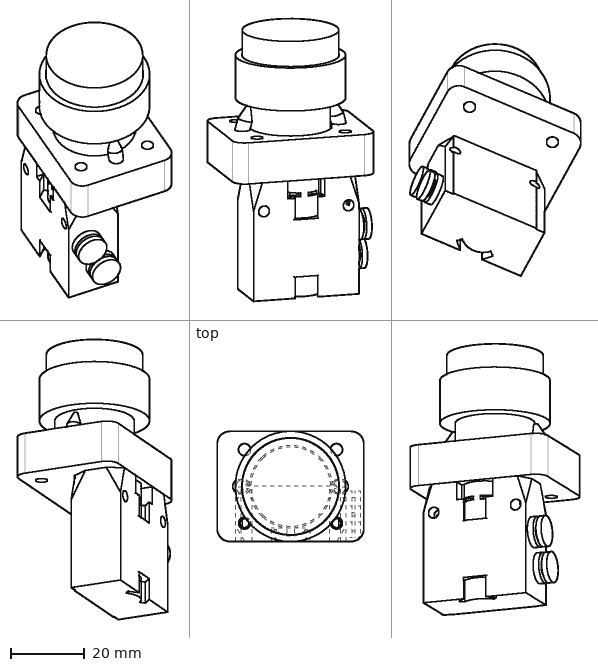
import cadquery as cq

TOTAL_HEIGHT = 71.5
COLLAR_TOP = 64.5
COLLAR_BOTTOM = 52.5
FLANGE_TOP = 44.55
FLANGE_BOTTOM = 33.0

BUTTON_DIAMETER = 26.3
BUTTON_BORE_DIAMETER = 26.5
BUTTON_SEAT = 55.05
COLLAR_DIAMETER = 30.0
NECK_DIAMETER = 21.7

FLANGE_LENGTH = 40.0
FLANGE_WIDTH = COLLAR_DIAMETER
FLANGE_CORNER_RADIUS = 3.5
NECK_SOCKET_DIAMETER = 22.5
NECK_SEAT = 36.05
MOUNT_HOLE_DIAMETER = 3.2
MOUNT_HOLE_X = 12.5
MOUNT_HOLE_Y = 10.0

PIN_DIAMETER = 4.0
PIN_TIP_DIAMETER = 1.15
PIN_LEAN = 15.0
PIN_SHOULDER_X = 12.95
PIN_SHOULDER_Z = 47.2
PIN_SHANK_LENGTH = 5.7
PIN_CONE_LENGTH = 4.0

BLOCK_LENGTH = 30.0
BLOCK_FRONT = -14.95
BLOCK_BACK = -0.1
BACK_PAD_THICKNESS = 0.3
BLOCK_MIDDLE = (BLOCK_FRONT + BLOCK_BACK) / 2
CORNER_CUT_X = 2.5
CORNER_CUT_Y = 4.3
CORNER_CUT_Z = 7.8
CROSS_HOLE_DIAMETER = 3.0
CROSS_HOLE_X = 12.0
CROSS_HOLE_Z = 25.0
SCREW_HOLE_DIAMETER = 2.4
SCREW_HOLE_DEPTH = 9.0

WINDOW_WIDTH = 10.5
WINDOW_DEPTH = 3.65
WINDOW_BOTTOM = 28.0
SLOT_WIDTH = 6.4
SLOT_FLARE = 2.2
UPPER_SLOT_BOTTOM = 22.0
LOWER_SLOT_TOP = 6.0
POST_RADIUS = 5.9
POST_Y = BLOCK_MIDDLE
NOTCH_INNER_X = 1.1
NOTCH_OUTER_X = 3.85
NOTCH_HEIGHT = 1.0

TERMINAL_DIAMETER = 8.5
TERMINAL_WAIST_DIAMETER = 5.0
TERMINAL_OFFSET_Y = 2.1
LOWER_TERMINAL_Z = 9.1
UPPER_TERMINAL_Z = 18.2
TERMINAL_WAIST_START = 1.65
TERMINAL_WAIST_END = 2.5
TERMINAL_LENGTH = 4.0


def cylinder(diameter, bottom, top, x=0.0, y=0.0):
    """Upright cylinder between two heights."""
    return cq.Workplane("XY", origin=(x, y, bottom)).circle(diameter / 2).extrude(top - bottom)


def box(x_range, y_range, z_range):
    """Box between pairs of limits along each axis."""
    sizes = [high - low for low, high in (x_range, y_range, z_range)]
    corner = (x_range[0], y_range[0], z_range[0])
    return cq.Workplane("XY", origin=corner).box(*sizes, centered=False)


def make_button():
    return cylinder(BUTTON_DIAMETER, BUTTON_SEAT, TOTAL_HEIGHT)


def make_head():
    """Collar with a bore for the button, on a neck that stands in the flange socket."""
    collar = cylinder(COLLAR_DIAMETER, COLLAR_BOTTOM, COLLAR_TOP)
    neck = cylinder(NECK_DIAMETER, NECK_SEAT, COLLAR_BOTTOM)
    bore = cylinder(BUTTON_BORE_DIAMETER, BUTTON_SEAT, COLLAR_TOP)
    return collar.union(neck).cut(bore)


def make_flange():
    """Rounded plate with a socket for the neck and four mounting holes."""
    height = FLANGE_TOP - FLANGE_BOTTOM
    plate = (
        cq.Workplane("XY", origin=(0, 0, FLANGE_BOTTOM))
        .rect(FLANGE_LENGTH, FLANGE_WIDTH)
        .extrude(height)
        .edges("|Z")
        .fillet(FLANGE_CORNER_RADIUS)
    )
    plate = plate.cut(cylinder(NECK_SOCKET_DIAMETER, NECK_SEAT, FLANGE_TOP))
    for x in (-MOUNT_HOLE_X, MOUNT_HOLE_X):
        for y in (-MOUNT_HOLE_Y, MOUNT_HOLE_Y):
            plate = plate.cut(cylinder(MOUNT_HOLE_DIAMETER, FLANGE_BOTTOM, FLANGE_TOP, x, y))
    return plate


def make_locating_pin(side):
    """Pointed pin on the left (side = -1) or right (side = 1) of the neck."""
    profile = [
        (0, -PIN_SHANK_LENGTH),
        (PIN_DIAMETER / 2, -PIN_SHANK_LENGTH),
        (PIN_DIAMETER / 2, 0),
        (PIN_TIP_DIAMETER / 2, PIN_CONE_LENGTH),
        (0, PIN_CONE_LENGTH),
    ]
    pin = cq.Workplane("XZ").polyline(profile).close().revolve(360, (0, 0, 0), (0, 1, 0))
    pin = pin.rotate((0, 0, 0), (0, 1, 0), -side * PIN_LEAN)
    pin = pin.translate((side * PIN_SHOULDER_X, 0, PIN_SHOULDER_Z))
    socket = cylinder(NECK_SOCKET_DIAMETER, NECK_SEAT, FLANGE_TOP)
    return pin.cut(socket)


def corner_cut(side_x, corner_y, inward_y):
    """Tetrahedron that bevels one upper corner of the block."""
    corner_x = side_x * BLOCK_LENGTH / 2
    corner = cq.Vector(corner_x, corner_y, FLANGE_BOTTOM)
    along_x = cq.Vector(corner_x - side_x * CORNER_CUT_X, corner_y, FLANGE_BOTTOM)
    along_y = cq.Vector(corner_x, corner_y + inward_y * CORNER_CUT_Y, FLANGE_BOTTOM)
    below = cq.Vector(corner_x, corner_y, FLANGE_BOTTOM - CORNER_CUT_Z)
    triangles = [
        (corner, along_x, along_y),
        (corner, along_x, below),
        (corner, along_y, below),
        (along_x, along_y, below),
    ]
    faces = [cq.Face.makeFromWires(cq.Wire.makePolygon(points, close=True)) for points in triangles]
    return cq.Workplane(cq.Solid.makeSolid(cq.Shell.makeShell(faces)))


def slot_cavity(bottom, top):
    """Slot that opens at 45 degrees behind the block front, then closes at 45 degrees on the post."""
    mouth = SLOT_WIDTH / 2
    widest = mouth + SLOT_FLARE
    outline = [
        (-mouth, 0),
        (mouth, 0),
        (widest, SLOT_FLARE),
        (mouth, 2 * SLOT_FLARE),
        (-mouth, 2 * SLOT_FLARE),
        (-widest, SLOT_FLARE),
    ]
    return (
        cq.Workplane("XY", origin=(0, BLOCK_FRONT, bottom))
        .polyline(outline)
        .close()
        .extrude(top - bottom)
    )


def front_cavities():
    """Window and two slots, all wrapped around the rounded guide post."""
    window = box(
        (-WINDOW_WIDTH / 2, WINDOW_WIDTH / 2),
        (BLOCK_FRONT, BLOCK_FRONT + WINDOW_DEPTH),
        (WINDOW_BOTTOM, FLANGE_BOTTOM),
    )
    upper_slot = slot_cavity(UPPER_SLOT_BOTTOM, WINDOW_BOTTOM)
    lower_slot = slot_cavity(0, LOWER_SLOT_TOP)
    post = cylinder(2 * POST_RADIUS, 0, FLANGE_BOTTOM, 0, POST_Y)
    for side in (-1, 1):
        notch = box(
            sorted((side * NOTCH_INNER_X, side * NOTCH_OUTER_X)),
            (BLOCK_FRONT, BLOCK_FRONT + WINDOW_DEPTH),
            (WINDOW_BOTTOM, WINDOW_BOTTOM + NOTCH_HEIGHT),
        )
        post = post.cut(notch)
    return window.union(upper_slot).union(lower_slot).cut(post)


def make_terminal(y, height):
    """Round terminal button with a narrow waist, standing out from the block side."""
    radius = TERMINAL_DIAMETER / 2
    waist = TERMINAL_WAIST_DIAMETER / 2
    outline = [
        (0, 0),
        (0, radius),
        (TERMINAL_WAIST_START, radius),
        (TERMINAL_WAIST_START, waist),
        (TERMINAL_WAIST_END, waist),
        (TERMINAL_WAIST_END, radius),
        (TERMINAL_LENGTH, radius),
        (TERMINAL_LENGTH, 0),
    ]
    terminal = cq.Workplane("XY").polyline(outline).close().revolve(360, (0, 0, 0), (1, 0, 0))
    return terminal.translate((BLOCK_LENGTH / 2, y, height))


def make_block():
    """Contact block with bevelled upper corners, screw holes, front cavities and terminals."""
    half_length = BLOCK_LENGTH / 2
    block = box((-half_length, half_length), (BLOCK_FRONT, BLOCK_BACK), (0, FLANGE_BOTTOM))
    block = block.cut(front_cavities())
    back_pad_x = half_length - CORNER_CUT_X
    pad_back = BLOCK_BACK + BACK_PAD_THICKNESS
    block = block.union(box((-back_pad_x, back_pad_x), (BLOCK_BACK, pad_back), (0, FLANGE_BOTTOM)))
    for side in (-1, 1):
        block = block.cut(corner_cut(side, BLOCK_FRONT, 1))
        block = block.cut(corner_cut(side, BLOCK_BACK, -1))
        cross_hole = (
            cq.Workplane("XZ", origin=(side * CROSS_HOLE_X, pad_back, CROSS_HOLE_Z))
            .circle(CROSS_HOLE_DIAMETER / 2)
            .extrude(pad_back - BLOCK_FRONT)
        )
        screw_hole = cylinder(
            SCREW_HOLE_DIAMETER,
            FLANGE_BOTTOM - SCREW_HOLE_DEPTH,
            FLANGE_BOTTOM,
            side * MOUNT_HOLE_X,
            -MOUNT_HOLE_Y,
        )
        block = block.cut(cross_hole).cut(screw_hole)
    lower_terminal = make_terminal(BLOCK_MIDDLE + TERMINAL_OFFSET_Y, LOWER_TERMINAL_Z)
    upper_terminal = make_terminal(BLOCK_MIDDLE - TERMINAL_OFFSET_Y, UPPER_TERMINAL_Z)
    return block.union(lower_terminal).union(upper_terminal)


def make_base():
    """Flange, locating pins and contact block in one piece."""
    base = make_flange().union(make_block())
    for side in (-1, 1):
        base = base.union(make_locating_pin(side))
    return base


button = make_button()
head = make_head()
base = make_base()

result = cq.Compound.makeCompound([button.val(), head.val(), base.val()])